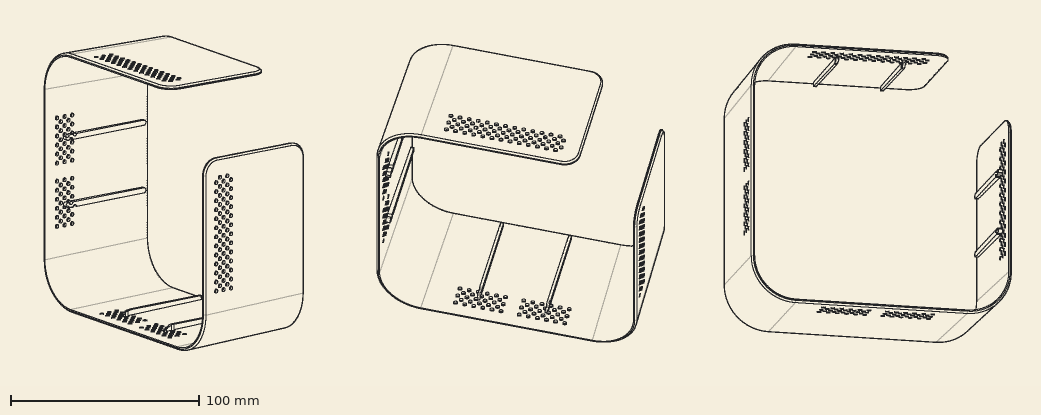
import cadquery as cq
import math

OUTER_SIZE = 142.3
DEPTH = 67.5
WALL = 1.7
CORNER_RADIUS = 24.2
DRAFT_ANGLE = 1.0
RIM_CHAMFER = 1.0

GAP_FRONT = 38.3
GAP_REAR = 37.7
END_CORNER_RADIUS = 8.5

HOLE_DIAMETER = 2.0
HOLE_PITCH = 5.0
VENT_FIRST_ROW = 8.0
VENT_ROWS = 5
LONG_VENT = (-14, 11)
SPLIT_VENTS = ((-12, -2), (2, 12))

RIB_FRONT = 12.0
RIB_REAR = DEPTH - 2.3
BLADE_WIDTH = 1.5
BLADE_REACH = 66.2
BLADE_RAMP = 7.1
PAD_WIDTH = 2.8
PAD_REACH = 66.7
TOP_RIBS = (-20.8, 16.0)
BOTTOM_RIBS = (-18.6, 18.6)
LEFT_RIBS = (-18.6, 18.6)
RIGHT_RIBS = (-20.9, 11.1)

HALF = OUTER_SIZE / 2
DRAFT_SLOPE = math.tan(math.radians(DRAFT_ANGLE))
REAR_INSET = DEPTH * DRAFT_SLOPE
FRONT_SIZE = OUTER_SIZE + 2 * RIM_CHAMFER * DRAFT_SLOPE
RIB_ROOT = HALF - WALL / 2 - REAR_INSET
MARGIN = 7.1


def tapered_block(inset):
    """Rounded square block, inset from the outer surface, narrowing to the rear."""
    size = FRONT_SIZE - 2 * inset
    block = cq.Workplane("XZ").rect(size, size).extrude(-DEPTH, taper=DRAFT_ANGLE)
    return block.edges("not(|X or |Z)").fillet(CORNER_RADIUS - inset)


def gap_block():
    """Corner block that widens to the rear, so both wall ends lean slightly."""
    far = HALF + MARGIN
    side = 2 * (far - GAP_FRONT)
    lean_angle = math.degrees(math.atan((GAP_FRONT - GAP_REAR) / DEPTH))
    return cq.Workplane("XZ").center(far, far).rect(side, side).extrude(-DEPTH, taper=-lean_angle)


def make_band():
    band = tapered_block(0).cut(tapered_block(WALL)).cut(gap_block())
    inside = HALF - MARGIN
    low = GAP_REAR - MARGIN
    high = GAP_FRONT + MARGIN
    top_end = cq.selectors.BoxSelector((low, -MARGIN, inside), (high, DEPTH + MARGIN, HALF))
    side_end = cq.selectors.BoxSelector((inside, -MARGIN, low), (HALF, DEPTH + MARGIN, high))
    band = band.edges(top_end).edges("|Z").fillet(END_CORNER_RADIUS)
    band = band.edges(side_end).edges("|X").fillet(END_CORNER_RADIUS)
    return band.faces("<Y").edges("<Z").chamfer(RIM_CHAMFER)


def vent_points(first, last):
    """Hole centres (along the wall, depth) between two positions counted in half pitches."""
    half_pitch = HOLE_PITCH / 2
    return [
        (step * half_pitch, VENT_FIRST_ROW + row * half_pitch)
        for row in range(VENT_ROWS)
        for step in range(first, last + 1)
        if (step + row) % 2 == 0
    ]


def vent_drills(first, last, direction):
    """Drills that pass through the wall facing the given outward direction."""
    along = cq.Vector(abs(direction[2]), 0, abs(direction[0]))
    outward = cq.Vector(*direction)
    start = HALF - 2 * MARGIN
    drills = []
    for position, y in vent_points(first, last):
        base = along * position + cq.Vector(0, y, 0) + outward * start
        drills.append(cq.Solid.makeCylinder(HOLE_DIAMETER / 2, 3 * MARGIN, base, outward))
    return drills


def blade_rib(x, side):
    """Thin rib on the top (side = 1) or bottom (side = -1) wall, its front end a convex ramp."""
    ramp_root = HALF - WALL / 2 - RIB_FRONT * DRAFT_SLOPE
    drop = ramp_root - BLADE_REACH
    radius = (BLADE_RAMP**2 + drop**2) / (2 * drop)
    half_sweep = math.asin(BLADE_RAMP / radius) / 2
    ramp_start = RIB_FRONT + BLADE_RAMP
    arc_middle = (
        ramp_start - radius * math.sin(half_sweep),
        side * (BLADE_REACH + radius * (1 - math.cos(half_sweep))),
    )
    return (
        cq.Workplane("YZ", origin=(x, 0, 0))
        .moveTo(RIB_REAR, side * RIB_ROOT)
        .lineTo(RIB_REAR, side * BLADE_REACH)
        .lineTo(ramp_start, side * BLADE_REACH)
        .threePointArc(arc_middle, (RIB_FRONT, side * ramp_root))
        .close()
        .extrude(BLADE_WIDTH / 2, both=True)
    )


def pad_rib(z, side):
    """Round-ended rib on the right (side = 1) or left (side = -1) wall."""
    return (
        cq.Workplane("YZ", origin=(side * PAD_REACH, (RIB_FRONT + RIB_REAR) / 2, z))
        .slot2D(RIB_REAR - RIB_FRONT, PAD_WIDTH)
        .extrude(side * (RIB_ROOT - PAD_REACH))
    )


result = make_band()

for ribs, make_rib, side in (
    (TOP_RIBS, blade_rib, 1),
    (BOTTOM_RIBS, blade_rib, -1),
    (LEFT_RIBS, pad_rib, -1),
    (RIGHT_RIBS, pad_rib, 1),
):
    for position in ribs:
        result = result.union(make_rib(position, side))

drills = []
for direction in ((0, 0, 1), (1, 0, 0)):
    drills += vent_drills(*LONG_VENT, direction)
for direction in ((0, 0, -1), (-1, 0, 0)):
    for first, last in SPLIT_VENTS:
        drills += vent_drills(first, last, direction)
result = result.cut(cq.Compound.makeCompound(drills))